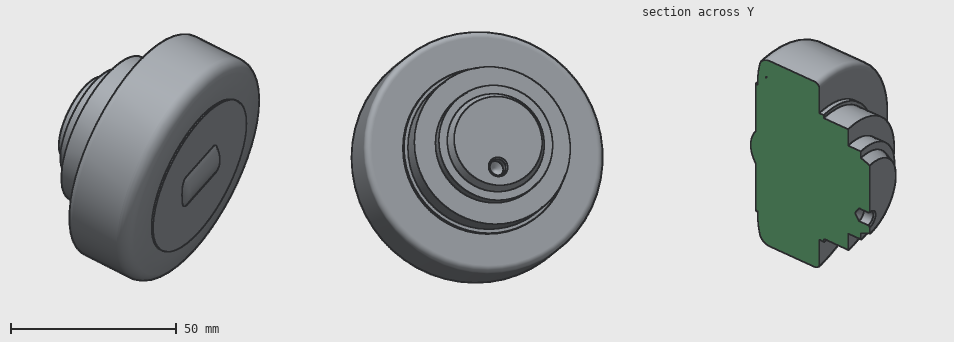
import cadquery as cq
import math

stud_end_x = 0
cone_base_x = 3.25
collar_end_x = 8.0
shank_end_x = 16.9
ring_front_x = 18.5
ring_back_x = 41.5
hub_back_x = 42.1
overall_length = 44.0

cone_tip_radius = 13.6
cone_base_radius = 15.0
collar_radius = 17.6
shank_radius = 24.05
hub_radius = 25.25
ring_radius = 36.9

front_edge_radius = 2.0
back_edge_radius = 4.0
back_crown_radius = 44.3

roller_radius = 12.0
roller_length = 19.3
roller_edge_radius = 2.35

hole_z = -8.0
hole_mouth_radius = 2.95
hole_radius = 2.4
hole_chamfer_depth = 0.5
hole_straight_depth = 4.0
drill_half_angle = math.radians(59)


def arc_point(center, radius, angle):
    """Point (x, r) on an arc, with the angle measured from the X axis."""
    return (center[0] + radius * math.cos(angle), center[1] + radius * math.sin(angle))


def make_stepped_body():
    """Stud, shank and hub turned about the X axis."""
    return (
        cq.Workplane("XY")
        .moveTo(stud_end_x, 0)
        .lineTo(stud_end_x, cone_tip_radius)
        .lineTo(cone_base_x, cone_base_radius)
        .lineTo(cone_base_x, collar_radius)
        .lineTo(collar_end_x, collar_radius)
        .lineTo(collar_end_x, shank_radius)
        .lineTo(shank_end_x, shank_radius)
        .lineTo(shank_end_x, hub_radius)
        .lineTo(hub_back_x, hub_radius)
        .lineTo(hub_back_x, 0)
        .close()
        .revolve(360, (0, 0, 0), (1, 0, 0))
    )


def make_outer_ring():
    """Outer ring with a rounded front edge and a rounded, crowned back edge."""
    front_center = (ring_front_x + front_edge_radius, ring_radius - front_edge_radius)

    crown_center = (ring_back_x - back_crown_radius, hub_radius)
    back_center_r = ring_radius - back_edge_radius
    crown_angle = math.asin((back_center_r - hub_radius) / (back_crown_radius - back_edge_radius))
    back_center = arc_point(crown_center, back_crown_radius - back_edge_radius, crown_angle)
    edge_mid_angle = (math.pi / 2 + crown_angle) / 2

    return (
        cq.Workplane("XY")
        .moveTo(ring_front_x, 0)
        .lineTo(ring_front_x, front_center[1])
        .threePointArc(
            arc_point(front_center, front_edge_radius, 3 * math.pi / 4),
            (front_center[0], ring_radius),
        )
        .lineTo(back_center[0], ring_radius)
        .threePointArc(
            arc_point(back_center, back_edge_radius, edge_mid_angle),
            arc_point(back_center, back_edge_radius, crown_angle),
        )
        .threePointArc(
            arc_point(crown_center, back_crown_radius, crown_angle / 2),
            (ring_back_x, hub_radius),
        )
        .lineTo(ring_back_x, 0)
        .close()
        .revolve(360, (0, 0, 0), (1, 0, 0))
    )


def make_side_roller():
    """Roller lying along Y, with rounded end edges."""
    return (
        cq.Workplane("XZ")
        .center(overall_length - roller_radius, 0)
        .circle(roller_radius)
        .extrude(roller_length / 2, both=True)
        .edges("%CIRCLE")
        .fillet(roller_edge_radius)
    )


def make_hole_cutter():
    """Chamfered blind hole along X with a conical drill point."""
    point_depth = hole_straight_depth + hole_radius / math.tan(drill_half_angle)
    return (
        cq.Workplane("XY")
        .moveTo(0, 0)
        .lineTo(0, hole_mouth_radius)
        .lineTo(hole_chamfer_depth, hole_radius)
        .lineTo(hole_straight_depth, hole_radius)
        .lineTo(point_depth, 0)
        .close()
        .revolve(360, (0, 0, 0), (1, 0, 0))
        .translate((stud_end_x, 0, hole_z))
    )


result = (
    make_stepped_body()
    .union(make_outer_ring())
    .union(make_side_roller())
    .cut(make_hole_cutter())
)